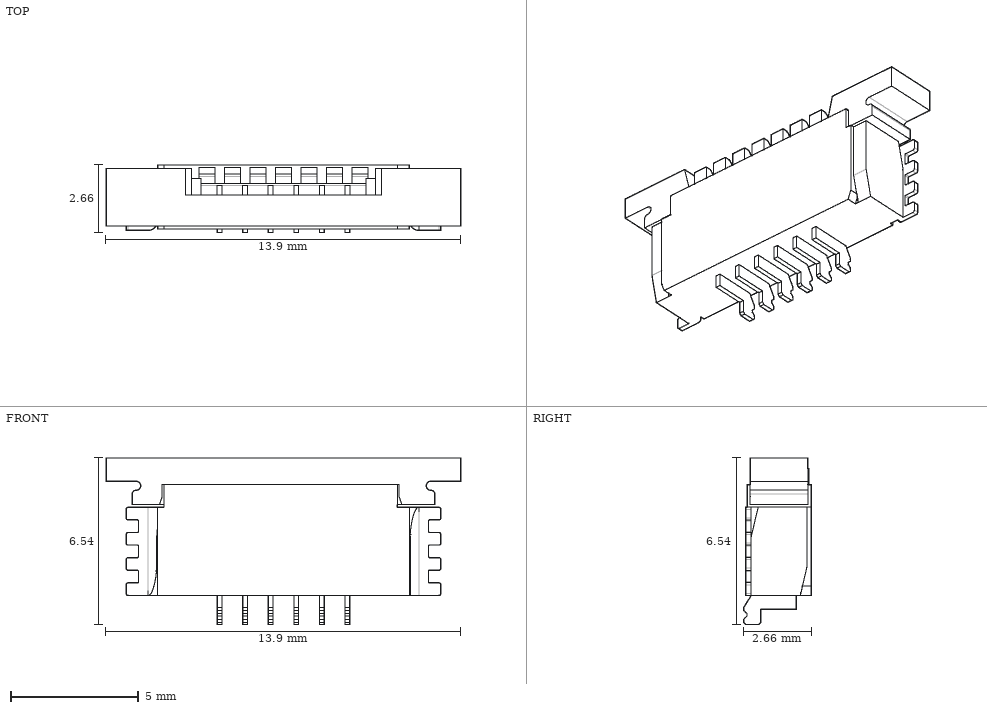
import cadquery as cq


PITCH = 1.0

SLIDER_LENGTH = 13.93
SLIDER_DEPTH = 2.27
SLIDER_TOP = 5.4
BAR_HEIGHT = 0.92
BAR_BOTTOM = SLIDER_TOP - BAR_HEIGHT
LEG_HALF = 5.95
LEG_BOTTOM = 3.57
NECK_HALF = 5.61
NECK_HEIGHT = 0.35
NECK_RADIUS = NECK_HEIGHT / 2
LEG_RADIUS = 0.15

HOUSING_HALF = 4.95
HOUSING_FRONT = -1.25
HOUSING_BACK = 1.27
SHOULDER = 3.47
UPPER_LEFT = 4.7
UPPER_RIGHT = 4.47
UPPER_TOP = 4.36
CORNER_CUT_HEIGHT = 0.38
CORNER_CUT_WIDTH = 0.14

WINDOW_GAP = 0.07
WINDOW_DEPTH = 0.11
FLARE_WIDTH = 0.11
FLARE_HEIGHT = 0.32

WALL_HALF = 5.6
WALL_FRONT = -1.1
WALL_BACK = 1.1
WALL_TAPER_TOP = 1.15
WALL_TAPER = 0.26
LEAD_IN_DEPTH = 0.28
LEAD_IN_HEIGHT = 1.18

TAB_HALF = 6.18
TAB_FRONT = -1.31
TAB_THICKNESS = 0.21
TAB_SLOT_HALF = 5.7
TOOTH_COUNT = 4
TOOTH_HEIGHT = 0.5
TOOTH_PITCH = (SHOULDER - TOOTH_HEIGHT) / (TOOTH_COUNT - 1)
TOOTH_RADIUS = 0.08
SLOT_RADIUS = 0.04
BEND_RADIUS = 0.38
BEND_NOTCH_HEIGHT = 1.13
BEND_NOTCH_REAR = -0.82

MOUTH_HALF_TOP = 3.86
MOUTH_HALF_BOTTOM = 3.61
MOUTH_FRONT = 0.09
STEP_BACK = 0.72
STEP_DROP = 0.14
CAVITY_HALF = 3.25
CAVITY_FLOOR = 3.35
CAVITY_BACK = 0.55
CAVITY_RADIUS = 0.08
CONTACT_SLOT_DEPTH = 0.84

BLOCK_COUNT = 7
BLOCK_WIDTH = 0.63
BLOCK_TOP = 4.99
BLOCK_BACK = 1.17
BLOCK_FLAT_FRONT = 0.92
BLOCK_SLOPE_FRONT = 0.81
BLOCK_SLOPE_BOTTOM = 4.88

PIN_COUNT = 6
PIN_WIDTH = 0.2
PIN_ROOT = 0.28
SHANK_BACK = 0.68
SHANK_BOTTOM = -0.55
PIN_BOTTOM = -1.14
TOE_BACK = -0.71
TOE_FRONT = -1.39
TOE_TOP = -0.47
TOE_CORNER = 0.08
TOE_NOTCH_TOP = -0.59
TOE_NOTCH_BOTTOM = -0.93
TOE_NOTCH_DEPTH = 0.13


def box(x_range, y_range, z_range):
    sizes = [high - low for low, high in (x_range, y_range, z_range)]
    corner = (x_range[0], y_range[0], z_range[0])
    return cq.Workplane("XY").box(*sizes, centered=False).translate(corner)


def prism_along_x(yz_points, x_start, length):
    plane = cq.Workplane("YZ", origin=(x_start, 0, 0))
    return plane.polyline(yz_points).close().extrude(length)


def prism_along_y(xz_points, y_range):
    plane = cq.Workplane("XZ", origin=(0, y_range[1], 0))
    return plane.polyline(xz_points).close().extrude(y_range[1] - y_range[0])


def with_mirror(shape):
    return shape.union(shape.mirror("YZ"))


def row_positions(count):
    return [(i - (count - 1) / 2) * PITCH for i in range(count)]


def make_window_gap(inner_x):
    """Narrow gap on the right of the housing's upper block, flared at its lower end."""
    outer_x = inner_x + WINDOW_GAP
    front = -SLIDER_DEPTH / 2
    return prism_along_y(
        [
            (inner_x, LEG_BOTTOM),
            (outer_x + FLARE_WIDTH, LEG_BOTTOM),
            (outer_x, LEG_BOTTOM + FLARE_HEIGHT),
            (outer_x, UPPER_TOP),
            (inner_x, UPPER_TOP),
        ],
        (front, front + WINDOW_DEPTH),
    )


def make_slider():
    depth = (-SLIDER_DEPTH / 2, SLIDER_DEPTH / 2)
    half = SLIDER_LENGTH / 2
    bar = box((-half, half), depth, (BAR_BOTTOM, SLIDER_TOP))
    neck_bottom = BAR_BOTTOM - NECK_HEIGHT
    round_x = NECK_HALF + NECK_RADIUS
    neck_round = (
        cq.Workplane("XZ", origin=(round_x, depth[1], neck_bottom + NECK_RADIUS))
        .circle(NECK_RADIUS)
        .extrude(SLIDER_DEPTH)
    )
    neck_cut = box((round_x, half), depth, (neck_bottom, BAR_BOTTOM)).union(neck_round)
    leg = box((0, LEG_HALF), depth, (LEG_BOTTOM, BAR_BOTTOM)).cut(neck_cut)
    leg = leg.edges("|Y and >X").edges(">Z").fillet(LEG_RADIUS)

    mouth = prism_along_y(
        [
            (-MOUTH_HALF_TOP, SLIDER_TOP),
            (MOUTH_HALF_TOP, SLIDER_TOP),
            (MOUTH_HALF_BOTTOM, UPPER_TOP),
            (-MOUTH_HALF_BOTTOM, UPPER_TOP),
        ],
        (MOUTH_FRONT, depth[1]),
    )
    slider = bar.union(with_mirror(leg)).cut(mouth)
    left_gap = make_window_gap(UPPER_LEFT).mirror("YZ")
    return slider.cut(make_window_gap(UPPER_RIGHT)).cut(left_gap)


def make_housing():
    depth = (HOUSING_FRONT, HOUSING_BACK)
    lower = box((-HOUSING_HALF, HOUSING_HALF), depth, (0, SHOULDER))
    upper = box((-UPPER_LEFT, UPPER_RIGHT), depth, (SHOULDER, UPPER_TOP))
    corner_cut = prism_along_y(
        [
            (HOUSING_HALF, 0),
            (HOUSING_HALF, CORNER_CUT_HEIGHT),
            (HOUSING_HALF - CORNER_CUT_WIDTH, 0),
        ],
        (WALL_BACK - WALL_TAPER, HOUSING_BACK),
    )
    return lower.union(upper).cut(with_mirror(corner_cut))


def make_end_wall():
    """Right end wall; its back tapers in at the bottom and its front leads in at the top."""
    profile = [
        (WALL_FRONT, 0),
        (WALL_BACK - WALL_TAPER, 0),
        (WALL_BACK, WALL_TAPER_TOP),
        (WALL_BACK, SHOULDER),
        (WALL_FRONT + LEAD_IN_DEPTH, SHOULDER),
        (WALL_FRONT, SHOULDER - LEAD_IN_HEIGHT),
    ]
    return prism_along_x(profile, HOUSING_HALF, WALL_HALF - HOUSING_HALF)


def make_tab(notch_at_top):
    """Right solder tab: a toothed plate bent back into the housing along its inner edge."""
    plate_back = TAB_FRONT + TAB_THICKNESS
    bend_start = HOUSING_HALF + BEND_RADIUS
    bend_end = TAB_FRONT + BEND_RADIUS
    plate = box((bend_start, TAB_HALF), (TAB_FRONT, plate_back), (0, SHOULDER))
    for i in range(TOOTH_COUNT - 1):
        slot_height = (i * TOOTH_PITCH + TOOTH_HEIGHT, (i + 1) * TOOTH_PITCH)
        slot = box((TAB_SLOT_HALF, TAB_HALF), (TAB_FRONT, plate_back), slot_height)
        plate = plate.cut(slot.edges("|Y and <X").fillet(SLOT_RADIUS))
    plate = plate.edges("|Y and >X").fillet(TOOTH_RADIUS)

    bend = (
        cq.Workplane("XY")
        .moveTo(bend_start, bend_end)
        .lineTo(HOUSING_HALF, bend_end)
        .radiusArc((bend_start, TAB_FRONT), -BEND_RADIUS)
        .close()
        .extrude(SHOULDER)
    )
    end = SHOULDER if notch_at_top else 0
    tip = end - BEND_NOTCH_HEIGHT if notch_at_top else BEND_NOTCH_HEIGHT
    middle = (TAB_FRONT + BEND_NOTCH_REAR) / 2
    notch = prism_along_x(
        [(TAB_FRONT, end), (BEND_NOTCH_REAR, end), (middle, tip)], HOUSING_HALF, BEND_RADIUS
    )
    return plate.union(bend.cut(notch))


def make_cable_cavity():
    """Space for the cable in the housing: a cavity with a sloped slot for each contact."""
    cavity = box(
        (-CAVITY_HALF, CAVITY_HALF), (MOUTH_FRONT, CAVITY_BACK), (CAVITY_FLOOR, UPPER_TOP)
    )
    cavity = cavity.edges("|X and >Y and <Z").fillet(CAVITY_RADIUS)
    for x in row_positions(PIN_COUNT):
        slot_profile = [
            (MOUTH_FRONT, CAVITY_FLOOR),
            (CAVITY_BACK - CAVITY_RADIUS, CAVITY_FLOOR),
            (MOUTH_FRONT, CAVITY_FLOOR - CONTACT_SLOT_DEPTH),
        ]
        slot = prism_along_x(slot_profile, x - PIN_WIDTH / 2, PIN_WIDTH)
        cavity = cavity.union(slot)
    return cavity


def make_side_step():
    """Space at the right end of the mouth, which also trims the outermost guide block."""
    return box(
        (CAVITY_HALF, MOUTH_HALF_BOTTOM),
        (MOUTH_FRONT, STEP_BACK),
        (UPPER_TOP - STEP_DROP, BLOCK_TOP),
    )


def make_guide_block(x):
    profile = [
        (BLOCK_BACK, UPPER_TOP),
        (BLOCK_BACK, BLOCK_TOP),
        (BLOCK_FLAT_FRONT, BLOCK_TOP),
        (BLOCK_SLOPE_FRONT, BLOCK_SLOPE_BOTTOM),
        (CAVITY_BACK, UPPER_TOP),
    ]
    return prism_along_x(profile, x - BLOCK_WIDTH / 2, BLOCK_WIDTH)


def make_pin(x):
    """Pin with a flat shank and a notched toe that reaches out past the front of the housing."""
    notch_y = TOE_FRONT + TOE_NOTCH_DEPTH
    profile = [
        (SHANK_BACK, PIN_ROOT),
        (SHANK_BACK, SHANK_BOTTOM),
        (TOE_BACK, SHANK_BOTTOM),
        (TOE_BACK, PIN_BOTTOM + TOE_CORNER),
        (TOE_BACK - TOE_CORNER, PIN_BOTTOM),
        (TOE_FRONT + TOE_CORNER, PIN_BOTTOM),
        (TOE_FRONT, PIN_BOTTOM + TOE_CORNER),
        (TOE_FRONT, TOE_NOTCH_BOTTOM),
        (notch_y, TOE_NOTCH_BOTTOM + TOE_NOTCH_DEPTH),
        (notch_y, TOE_NOTCH_TOP - TOE_NOTCH_DEPTH),
        (TOE_FRONT, TOE_NOTCH_TOP),
        (TOE_FRONT, TOE_TOP),
        (WALL_FRONT, 0),
        (WALL_FRONT, PIN_ROOT),
    ]
    return prism_along_x(profile, x - PIN_WIDTH / 2, PIN_WIDTH)


result = make_housing().union(with_mirror(make_end_wall()))
result = result.union(make_slider()).cut(make_cable_cavity())
result = result.union(make_tab(notch_at_top=True))
result = result.union(make_tab(notch_at_top=False).mirror("YZ"))
for block_x in row_positions(BLOCK_COUNT):
    result = result.union(make_guide_block(block_x))
result = result.cut(with_mirror(make_side_step()))
for pin_x in row_positions(PIN_COUNT):
    result = result.union(make_pin(pin_x))